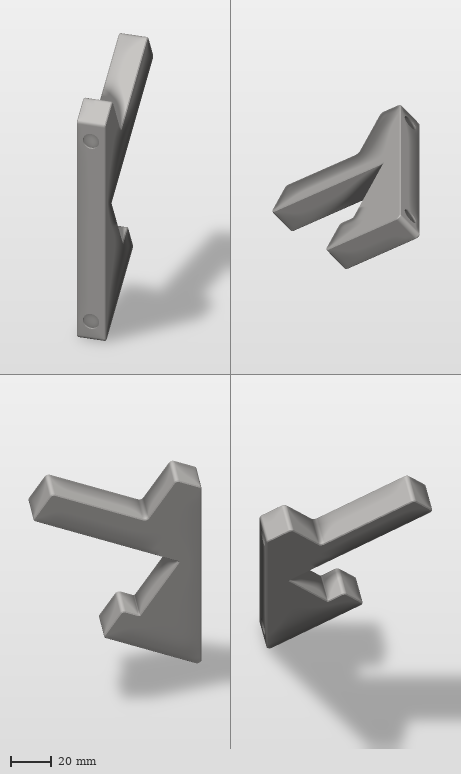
import cadquery as cq
import math

thickness = 15.0
tilt = math.radians(30)
edge_chamfer = 0.5
corner_radius = 2.0
notch_radius = 0.5

hook_height = 20.0
hook_to_arm_gap = 40.0
arm_height = 20.0
stop_height = 30.0

notch_reach = 48.0
hook_length = 10.0
arm_tip_reach = 134.0
top_width = 15.0

recess_diameter = 8.5
recess_depth = 1.0
recess_margin = 9.0

arm_bottom = hook_height + hook_to_arm_gap
arm_top = arm_bottom + arm_height
stop_top = arm_top + stop_height

wall_top_reach = stop_top * math.tan(tilt)
stop_reach = wall_top_reach + top_width
hook_reach = notch_reach + hook_length

bottom_corner_loss = corner_radius / math.tan(tilt) - corner_radius

wall_flat_bottom = corner_radius
wall_flat_top = stop_top / math.cos(tilt) - bottom_corner_loss - corner_radius * math.tan(tilt)


def tilted(reach, level):
    """Turn a reach along the arm and a level square to it into (Y, Z)."""
    y = reach * math.cos(tilt) - level * math.sin(tilt)
    z = reach * math.sin(tilt) + level * math.cos(tilt) - bottom_corner_loss
    return y, z


def round_corner(body, point, radius):
    """Fillet the edge along X that passes through the given (Y, Z) point."""
    nearest = cq.selectors.NearestToPointSelector((0, *point))
    return body.edges("|X").edges(nearest).fillet(radius)


def make_profile_plate():
    bottom = tilted(0, 0)
    hook_low = tilted(hook_reach, 0)
    hook_high = tilted(hook_reach, hook_height)
    notch_low = tilted(notch_reach, hook_height)
    notch_high = tilted(notch_reach, arm_bottom)
    tip_low = tilted(arm_tip_reach, arm_bottom)
    tip_high = tilted(arm_tip_reach, arm_top)
    arm_root = tilted(stop_reach, arm_top)
    stop_front = tilted(stop_reach, stop_top)
    wall_top = tilted(wall_top_reach, stop_top)

    outline = [
        bottom, hook_low, hook_high, notch_low, notch_high,
        tip_low, tip_high, arm_root, stop_front, wall_top,
    ]
    body = cq.Workplane("YZ").polyline(outline).close().extrude(thickness / 2, both=True)

    for point in (bottom, hook_low, hook_high, tip_low, tip_high, arm_root, stop_front, wall_top):
        body = round_corner(body, point, corner_radius)
    for point in (notch_low, notch_high):
        body = round_corner(body, point, notch_radius)
    return body.faces("<X or >X").edges().chamfer(edge_chamfer)


def cut_recesses(body):
    for height in (wall_flat_bottom + recess_margin, wall_flat_top - recess_margin):
        recess = (
            cq.Workplane("XZ")
            .center(0, height)
            .circle(recess_diameter / 2)
            .extrude(-recess_depth)
        )
        body = body.cut(recess)
    return body


result = cut_recesses(make_profile_plate())